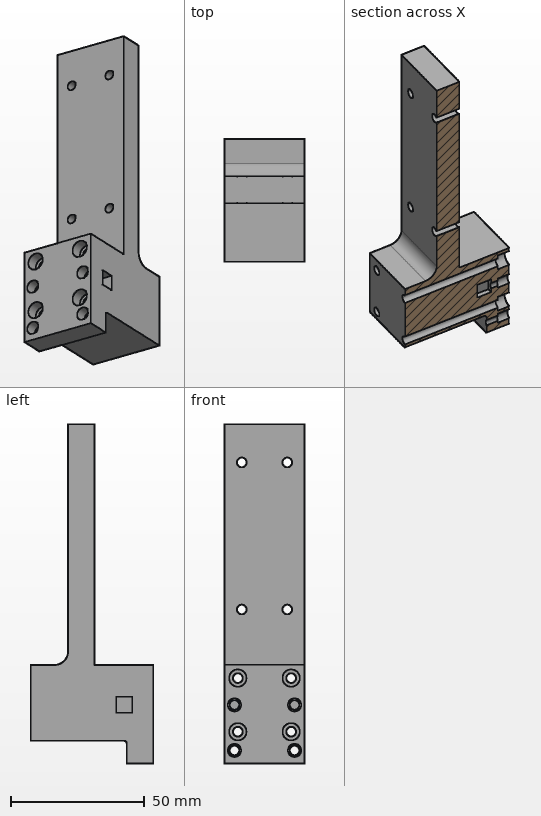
import cadquery as cq

width = 30.0
depth = 46.0
height = 127.0

base_top = 37.0
step_height = 8.5
lip_depth = 10.0
plate_front = 22.0
plate_thickness = 10.0
plate_back = plate_front + plate_thickness
plate_fillet = 5.0
lip_fillet = 1.0

plate_hole_diameter = 3.5
plate_hole_spacing = 17.0
plate_hole_heights = (57.7, 112.7)

screw_diameter = 3.5
screw_head_diameter = 6.5
screw_head_depth = 5.0
screw_spacing = 20.0
screw_heights = (12.0, 32.0)

insert_diameter = 5.0
insert_depth = 5.0
insert_core_diameter = 3.5
insert_spacing = 22.5
lower_insert_height = 5.0
upper_insert_height = 22.0

pocket_size = 6.0
pocket_front = 8.0
pocket_depth = 7.0
pocket_middle = pocket_front + pocket_size / 2


def front_cylinders(diameter, spacing, z, length):
    """Mirrored pair of cylinders running back from the front face."""
    return (
        cq.Workplane("XZ")
        .pushPoints([(-spacing / 2, z), (spacing / 2, z)])
        .circle(diameter / 2)
        .extrude(-length)
    )


def make_body():
    """Base with a front lip and an upright plate, extruded across the width."""
    profile = (
        cq.Workplane("YZ")
        .moveTo(0, 0)
        .lineTo(lip_depth, 0)
        .lineTo(lip_depth, step_height - lip_fillet)
        .radiusArc((lip_depth + lip_fillet, step_height), lip_fillet)
        .lineTo(depth, step_height)
        .lineTo(depth, base_top)
        .lineTo(plate_back + plate_fillet, base_top)
        .radiusArc((plate_back, base_top + plate_fillet), plate_fillet)
        .lineTo(plate_back, height)
        .lineTo(plate_front, height)
        .lineTo(plate_front, base_top)
        .lineTo(0, base_top)
        .close()
    )
    return profile.extrude(width / 2, both=True)


def side_pocket(side):
    """Square pocket sunk into the left (-1) or right (+1) side."""
    return cq.Workplane("XY").box(pocket_depth, pocket_size, pocket_size).translate(
        (
            side * (width - pocket_depth) / 2,
            pocket_middle,
            upper_insert_height,
        )
    )


result = make_body()

for z in plate_hole_heights:
    result = result.cut(front_cylinders(plate_hole_diameter, plate_hole_spacing, z, depth))

for z in screw_heights:
    result = result.cut(front_cylinders(screw_diameter, screw_spacing, z, depth))
    result = result.cut(front_cylinders(screw_head_diameter, screw_spacing, z, screw_head_depth))

for z, core_length in ((lower_insert_height, lip_depth), (upper_insert_height, pocket_middle)):
    result = result.cut(front_cylinders(insert_core_diameter, insert_spacing, z, core_length))
    result = result.cut(front_cylinders(insert_diameter, insert_spacing, z, insert_depth))

for side in (-1, 1):
    result = result.cut(side_pocket(side))